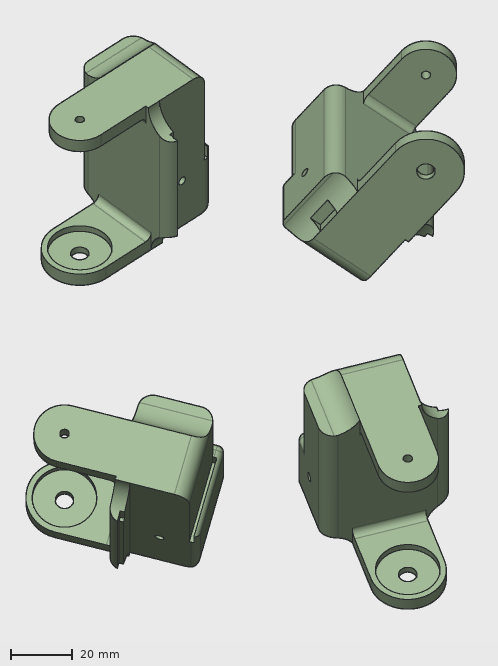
import cadquery as cq
import math

height = 62.0
flange_right = 43.8
body_right = 33.6
body_depth = 25.0
wall = 5.0
small_radius = 2.5
corner_radius = 10.0

tab_x = 22.45
tab_reach = 19.95
top_tab_radius = 10.0
bottom_tab_radius = 12.5
top_hole_radius = 1.5
bottom_hole_radius = 3.0
seat_radius = 10.5
seat_depth = 2.5

boss_depth = 28.0
boss_height = 28.0
slot_left = 5.0
slot_width = 1.5
slot_depth = 5.0

rim_thickness = 3.55
rim_left = 41.6
rim_notch_left = 40.25
rim_notch_height = 5.0
cross_hole_y = 15.0
cross_hole_z = 20.0
cross_hole_radius = 1.5
recess_front = 10.55
recess_width = 8.9
recess_height = 3.9
recess_right = 10.0


def box(x0, x1, y0, y1, z0, z1):
    return cq.Workplane("XY").box(x1 - x0, y1 - y0, z1 - z0, centered=False).translate((x0, y0, z0))


def make_core():
    """Body, rear boss and flange before the outline corners are cut."""
    body = box(0, body_right, 0, body_depth, 0, height)
    body = body.edges("|Z and <X").fillet(wall)
    body = body.edges(">Y and >Z").fillet(wall)

    boss = box(0, body_right, body_depth - 2 * wall, boss_depth, 0, boss_height)
    boss_plan = boss.edges("|Z and >X and >Y").fillet(small_radius)
    boss = boss.edges("|Z and <X and >Y").fillet(small_radius)
    boss = boss.faces(">Z").edges("<X or >Y").fillet(small_radius)
    boss = boss.intersect(boss_plan)
    underside_round = (
        cq.Workplane("YZ")
        .moveTo(boss_depth - wall, 0)
        .radiusArc((boss_depth, wall), -wall)
        .lineTo(boss_depth, 0)
        .close()
        .extrude(body_right)
    )

    round_overshoot = wall - math.sqrt(wall**2 - (wall - rim_thickness) ** 2)
    nearly_full = 0.999
    flange = box(0, flange_right + round_overshoot, 0, wall, 0, height)
    flange = flange.edges("|Z and <Y").fillet(wall * nearly_full)
    flange = flange.cut(box(rim_left, flange_right + wall, rim_thickness, wall, 0, height))
    flange = flange.intersect(box(0, flange_right, 0, wall, 0, height))
    notch_top = height - corner_radius
    flange = flange.cut(
        box(rim_notch_left, rim_left, rim_thickness, wall, notch_top - rim_notch_height, height)
    )
    return body.union(boss).cut(underside_round).union(flange)


def cylinder_y(x, z):
    """Corner cutter running front to back."""
    return cq.Workplane("XZ", origin=(x, 0, z)).circle(corner_radius).extrude(-boss_depth)


def left_corner_cut(tab_edge, z_sign):
    """Step at a left corner: flat ledge, then a concave arc up to the tab edge."""
    arc_run = math.sqrt(corner_radius**2 - (corner_radius - wall) ** 2)
    z_end = height if z_sign > 0 else 0
    arc_start = tab_edge - arc_run
    ledge_z = z_end - z_sign * wall
    ledge = box(0, arc_start, 0, boss_depth, min(z_end, ledge_z), max(z_end, ledge_z))
    arc = cylinder_y(arc_start, ledge_z + z_sign * corner_radius)
    return ledge.union(arc)


def cut_outline(part):
    part = part.cut(left_corner_cut(tab_x - top_tab_radius, 1))
    part = part.cut(left_corner_cut(tab_x - bottom_tab_radius, -1))
    part = part.cut(cylinder_y(body_right + corner_radius, height))
    return part.cut(cylinder_y(tab_x + bottom_tab_radius + corner_radius, 0))


def make_tab(radius, z):
    arm = box(tab_x - radius, tab_x + radius, -tab_reach, wall / 2, z, z + wall)
    end = cq.Workplane("XY", origin=(tab_x, -tab_reach, z)).circle(radius).extrude(wall)
    return arm.union(end)


def root_fillet(radius, z, direction):
    """Concave strip joining a tab's inner face to the front face."""
    return (
        cq.Workplane("YZ", origin=(tab_x - radius, 0, z))
        .moveTo(0, 0)
        .lineTo(-small_radius, 0)
        .radiusArc((0, direction * small_radius), -direction * small_radius)
        .close()
        .extrude(2 * radius)
    )


def pivot_cut(radius, z, depth):
    return cq.Workplane("XY", origin=(tab_x, -tab_reach, z)).circle(radius).extrude(depth)


result = cut_outline(make_core())

result = result.union(make_tab(top_tab_radius, height - wall))
result = result.union(make_tab(bottom_tab_radius, 0))
result = result.union(root_fillet(top_tab_radius, height - wall, -1))
result = result.union(root_fillet(bottom_tab_radius, wall, 1))

result = result.cut(pivot_cut(top_hole_radius, height - wall, wall))
result = result.cut(pivot_cut(bottom_hole_radius, 0, wall))
result = result.cut(pivot_cut(seat_radius, wall - seat_depth, seat_depth))

cross_hole = cq.Workplane("YZ", origin=(0, cross_hole_y, cross_hole_z)).circle(cross_hole_radius)
result = result.cut(cross_hole.extrude(body_right))

result = result.cut(
    box(slot_left, body_right, body_depth, body_depth + slot_width, boss_height - slot_depth, boss_height)
)

result = result.cut(box(0, recess_right, recess_front, recess_front + recess_width, 0, recess_height))